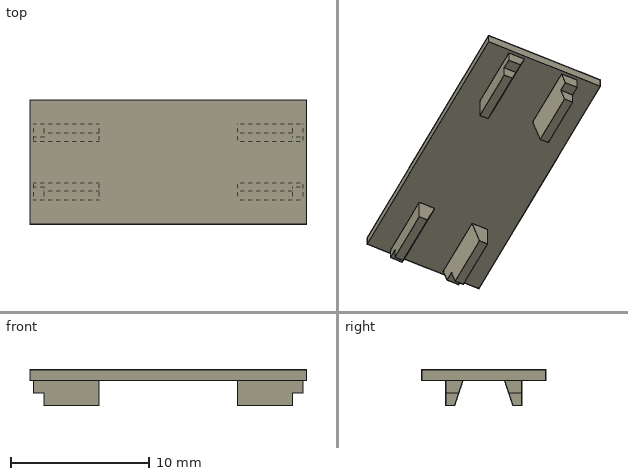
import cadquery as cq

plate_length = 20.0
plate_width = 9.0
plate_thickness = 0.8

foot_height = 1.8
foot_outer_y = 2.75
foot_root_width = 1.25
foot_tip_width = 0.65
foot_inner_x = 5.0
foot_end_setback = 0.25
step_depth = 0.75
step_height = 0.9

foot_outer_x = plate_length / 2 - foot_end_setback
foot_length = foot_outer_x - foot_inner_x


def make_plate():
    """Flat plate with its underside on Z = 0."""
    return cq.Workplane("XY").box(
        plate_length, plate_width, plate_thickness, centered=(True, True, False)
    )


def make_foot():
    """Foot at +X +Y: inner flank tapered, lower outer end notched."""
    foot = (
        cq.Workplane("YZ", origin=(foot_inner_x, 0, 0))
        .moveTo(foot_outer_y, 0)
        .lineTo(foot_outer_y - foot_root_width, 0)
        .lineTo(foot_outer_y - foot_tip_width, -foot_height)
        .lineTo(foot_outer_y, -foot_height)
        .close()
        .extrude(foot_length)
    )
    notch = cq.Workplane("XY").box(
        step_depth, plate_width, step_height, centered=(False, True, False)
    )
    notch_start = (foot_outer_x - step_depth, 0, -foot_height)
    return foot.cut(notch.translate(notch_start))


foot = make_foot()
foot_pair = foot.union(foot.mirror("XZ"))
result = make_plate().union(foot_pair).union(foot_pair.mirror("YZ"))